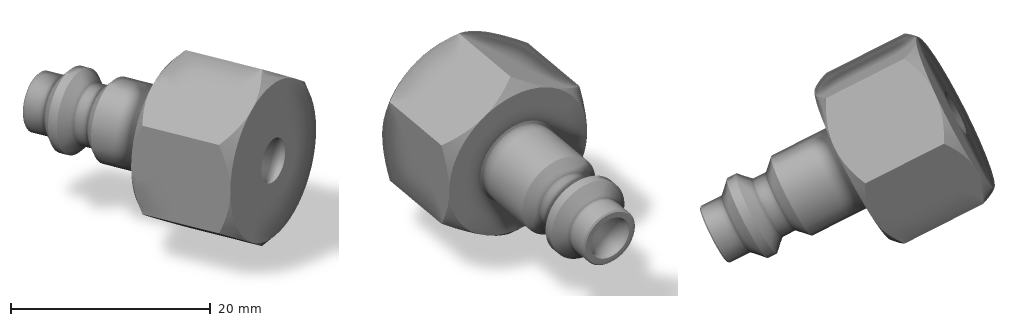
import cadquery as cq
import math

length = 27.3
across_flats = 17.0
across_corners = across_flats / math.cos(math.radians(30))

nose_end = 2.48
collar_start = 3.8
collar_end = 4.8
groove_start = 6.05
groove_end = 7.53
body_start = 8.8
hex_start = 15.78

nose_radius = 3.2
body_radius = 4.5
groove_radius = 3.28
bore_radius = 2.38

tip_chamfer = 0.16
root_flare = 0.2

x_min = -length / 2


def make_plug():
    """Turned plug with a locking collar, a groove and a flared root."""
    profile = [
        (0, 0),
        (0, nose_radius - tip_chamfer),
        (tip_chamfer, nose_radius),
        (nose_end, nose_radius),
        (collar_start, body_radius),
        (collar_end, body_radius),
        (groove_start, groove_radius),
        (groove_end, groove_radius),
        (body_start, body_radius),
        (hex_start - root_flare, body_radius),
        (hex_start, body_radius + root_flare),
        (hex_start, 0),
    ]
    return cq.Workplane("XY").polyline(profile).close().revolve(360, (0, 0, 0), (1, 0, 0))


def make_hex():
    """Hexagon with corners on Z, its corners turned off at 45 degrees on both ends."""
    hexagon = (
        cq.Workplane("YZ", origin=(hex_start, 0, 0))
        .polygon(6, across_corners)
        .extrude(length - hex_start)
        .rotate((0, 0, 0), (1, 0, 0), 90)
    )
    corner_chamfer = (across_corners - across_flats) / 2
    turned_blank = (
        cq.Workplane("YZ", origin=(hex_start, 0, 0))
        .circle(across_corners / 2)
        .extrude(length - hex_start)
        .edges()
        .chamfer(corner_chamfer)
    )
    return hexagon.intersect(turned_blank)


bore = cq.Workplane("YZ").circle(bore_radius).extrude(length)
result = make_plug().union(make_hex()).cut(bore).translate((x_min, 0, 0))